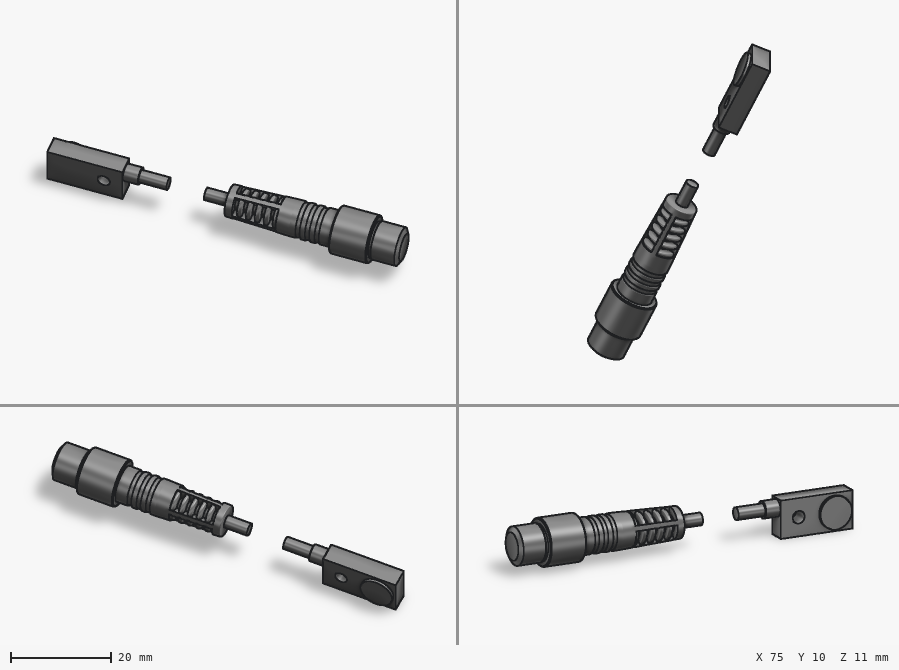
import cadquery as cq
import math

HEAD_LENGTH = 15.95
HEAD_WIDTH = 4.0
HEAD_HEIGHT = 8.0
HEAD_TOP = 2.0
HEAD_MID_Z = HEAD_TOP - HEAD_HEIGHT / 2
DISC_DIAMETER = 7.0
DISC_THICKNESS = 0.7
DISC_X = 4.0
MOUNT_HOLE_DIAMETER = 2.6
MOUNT_HOLE_X = 12.0
COLLAR_DIAMETER = 3.6
COLLAR_LENGTH = 3.15
CABLE_DIAMETER = 2.6
HEAD_CABLE_END = 25.0

PLUG_CABLE_START = 33.0
SLEEVE_START = 38.0
TAPER_END = 51.9
COUPLING_START = 60.7
COUPLING_END = 68.7
NOSE_START = 69.25
PLUG_END = 74.95

SLEEVE_SMALL_DIAMETER = 6.7
SLEEVE_DIAMETER = 7.65
COUPLING_DIAMETER = 10.0
NOSE_DIAMETER = 8.0
NOSE_TIP_DIAMETER = 5.8
NOSE_TIP_ANGLE = 30.0
SLEEVE_EDGE_RADIUS = 0.2
COUPLING_CHAMFER = 0.2

GROOVE_DIAMETER = 7.2
GROOVE_COUNT = 3
FIRST_GROOVE_X = 53.2
GROOVE_FLOOR_WIDTH = 0.9
GROOVE_PITCH = 2.0

WINDOW_COUNT = 4
WINDOW_START = 39.65
WINDOW_END = 49.0
WINDOW_ANGLE = 72.0
SPINE_TILT = 18.0
WINDOW_FLOOR_DIAMETER = 3.6
SLOT_COUNT = 5
SLOT_WIDTH = 0.9
LAST_SLOT_END = 48.2
SLOT_PITCH = (LAST_SLOT_END - SLOT_WIDTH - WINDOW_START) / (SLOT_COUNT - 1)
RUNG_DEPTH = 0.2
RUNG_EDGE_RADIUS = 0.45


def rod(start_x, end_x, diameter):
    """Cylinder on the X axis."""
    return cq.Workplane("YZ").workplane(offset=start_x).circle(diameter / 2).extrude(end_x - start_x)


def taper_diameter(x):
    """Outer diameter of the tapered part of the sleeve at x."""
    share = (x - SLEEVE_START) / (TAPER_END - SLEEVE_START)
    return SLEEVE_SMALL_DIAMETER + share * (SLEEVE_DIAMETER - SLEEVE_SMALL_DIAMETER)


def make_sensor_head():
    block = (
        cq.Workplane("XY")
        .box(HEAD_LENGTH, HEAD_WIDTH, HEAD_HEIGHT)
        .translate((HEAD_LENGTH / 2, 0, HEAD_MID_Z))
    )
    back_face = cq.Workplane("XZ", origin=(0, HEAD_WIDTH / 2, HEAD_MID_Z))
    disc = back_face.center(DISC_X, 0).circle(DISC_DIAMETER / 2).extrude(-DISC_THICKNESS)
    mount_hole = back_face.center(MOUNT_HOLE_X, 0).circle(MOUNT_HOLE_DIAMETER / 2).extrude(HEAD_WIDTH)
    collar = rod(HEAD_LENGTH, HEAD_LENGTH + COLLAR_LENGTH, COLLAR_DIAMETER)
    cable = rod(HEAD_LENGTH, HEAD_CABLE_END, CABLE_DIAMETER)
    return block.union(disc).cut(mount_hole).union(collar).union(cable)


def make_sleeve_blank():
    """Solid of revolution: taper, then a straight run up to the nose."""
    outline = (
        cq.Workplane("XY")
        .moveTo(SLEEVE_START, 0)
        .lineTo(SLEEVE_START, SLEEVE_SMALL_DIAMETER / 2)
        .lineTo(TAPER_END, SLEEVE_DIAMETER / 2)
        .lineTo(NOSE_START, SLEEVE_DIAMETER / 2)
        .lineTo(NOSE_START, 0)
        .close()
    )
    blank = outline.revolve(360, (0, 0, 0), (1, 0, 0))
    return blank.faces("<X").edges().fillet(SLEEVE_EDGE_RADIUS)


def cut_windows(sleeve):
    """Cut the sector windows, which leave one spine between each two neighbours."""
    floor_radius = WINDOW_FLOOR_DIAMETER / 2
    window = (
        cq.Workplane("XY")
        .moveTo(WINDOW_START, floor_radius)
        .lineTo(WINDOW_END, floor_radius)
        .lineTo(WINDOW_END, SLEEVE_DIAMETER)
        .lineTo(WINDOW_START, SLEEVE_DIAMETER)
        .close()
        .revolve(WINDOW_ANGLE, (0, 0, 0), (1, 0, 0))
    )
    spacing = 360 / WINDOW_COUNT
    half_spine = (spacing - WINDOW_ANGLE) / 2
    for index in range(WINDOW_COUNT):
        turn = SPINE_TILT + half_spine + index * spacing
        sleeve = sleeve.cut(window.rotate((0, 0, 0), (1, 0, 0), turn))
    return sleeve


def add_rungs(sleeve):
    """Add the hoops that bridge the windows; the last one closes the wide end of the windows."""
    for index in range(SLOT_COUNT):
        start = WINDOW_START + index * SLOT_PITCH + SLOT_WIDTH
        is_last = index == SLOT_COUNT - 1
        end = WINDOW_END if is_last else start + SLOT_PITCH - SLOT_WIDTH
        diameter = taper_diameter(start) - 2 * RUNG_DEPTH
        rung = rod(start, end, diameter)
        rounded_ends = "<X" if is_last else "<X or >X"
        sleeve = sleeve.union(rung.faces(rounded_ends).edges().fillet(RUNG_EDGE_RADIUS))
    return sleeve


def cut_grooves(sleeve):
    """Cut the grip grooves; quarter rounds as deep as the groove lead from its floor to the ribs."""
    floor_radius = GROOVE_DIAMETER / 2
    sleeve_radius = SLEEVE_DIAMETER / 2
    depth = sleeve_radius - floor_radius
    bulge = depth * math.sqrt(0.5)
    for index in range(GROOVE_COUNT):
        start = FIRST_GROOVE_X + index * GROOVE_PITCH
        end = start + GROOVE_FLOOR_WIDTH
        groove = (
            cq.Workplane("XY")
            .moveTo(start, floor_radius)
            .lineTo(end, floor_radius)
            .threePointArc((end + depth - bulge, floor_radius + bulge), (end + depth, sleeve_radius))
            .lineTo(start - depth, sleeve_radius)
            .threePointArc((start - depth + bulge, floor_radius + bulge), (start, floor_radius))
            .close()
            .revolve(360, (0, 0, 0), (1, 0, 0))
        )
        sleeve = sleeve.cut(groove)
    return sleeve


def make_nose():
    tip_length = (NOSE_DIAMETER - NOSE_TIP_DIAMETER) / 2 * math.tan(math.radians(NOSE_TIP_ANGLE))
    outline = (
        cq.Workplane("XY")
        .moveTo(NOSE_START, 0)
        .lineTo(NOSE_START, NOSE_DIAMETER / 2)
        .lineTo(PLUG_END - tip_length, NOSE_DIAMETER / 2)
        .lineTo(PLUG_END, NOSE_TIP_DIAMETER / 2)
        .lineTo(PLUG_END, 0)
        .close()
    )
    return outline.revolve(360, (0, 0, 0), (1, 0, 0))


def make_plug():
    sleeve = cut_grooves(add_rungs(cut_windows(make_sleeve_blank())))
    cable = rod(PLUG_CABLE_START, SLEEVE_START, CABLE_DIAMETER)
    coupling = rod(COUPLING_START, COUPLING_END, COUPLING_DIAMETER)
    coupling = coupling.faces("<X or >X").edges().chamfer(COUPLING_CHAMFER)
    return sleeve.union(cable).union(coupling).union(make_nose())


sensor_head = make_sensor_head()
plug = make_plug()
result = cq.Compound.makeCompound([sensor_head.val(), plug.val()])